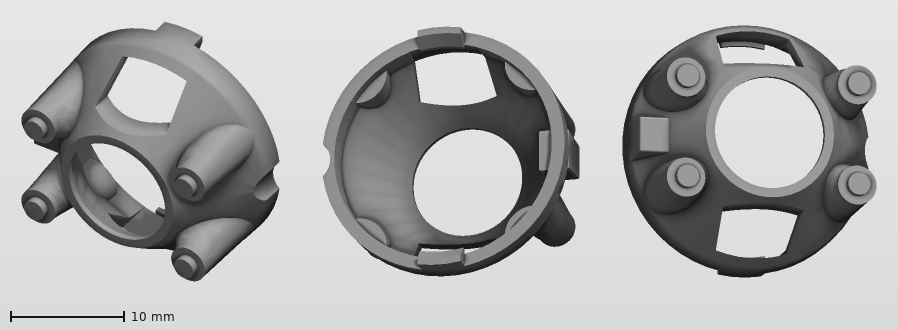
import math

import cadquery as cq


rim_back_radius = 11.03
rim_front_radius = 10.95
nose_radius = 5.83
shell_length = 9.6
cone_slope = 0.696
rim_blend_radius = 0.9
hole_radius = 5.0
bore_back_radius = 9.88
bore_front_radius = 9.7
wall_gap = 1.2

window_draft = 5.0
window_half_width = 3.9
window_floor = 6.22
window_top_radius = 10.73

tab_length = 1.5
tab_half_width = 1.97
tab_straight_length = 0.52
tab_inner_radius = 9.5
tab_tip_inner_radius = 10.43

post_circle_radius = 9.0
post_angles = (30, 150, 210, 330)
post_radius = 1.75
post_cap_end = 10.25
post_base_circle_radius = 8.66
post_base_radius = 2.3
post_root_depth = 0.45
pin_radius = 1.0
pin_end = 11.0

block_outer_x = 10.95
block_inner_x = 8.22
block_front_half_width = 1.57
block_root_half_width = 1.83
block_end = 6.05
block_root = 2.0
block_edge_radius = 0.18

notch_radius = 2.0
notch_centre_x = 12.25

bump_angles = (45, 135, 225, 315)
bump_radius = 2.63
bump_circle_radius = 11.3
bump_start = 1.0


def outer_cone_depth(radius):
    """Distance in front of the rim back face where the outer cone has this radius."""
    return shell_length - (radius - nose_radius) / cone_slope


def revolve_profile(points):
    """Turn a closed (radius, y) outline about the Y axis."""
    return cq.Workplane("XY").polyline(points).close().revolve(360, (0, 0), (0, 1))


def front_plane(depth):
    """XZ work plane at y = -depth, facing -Y."""
    return cq.Workplane("XZ", origin=(0, -depth, 0))


def make_envelope():
    cone_start = outer_cone_depth(rim_front_radius)
    envelope = revolve_profile([
        (0, 0),
        (rim_back_radius, 0),
        (rim_front_radius, -cone_start),
        (nose_radius, -shell_length),
        (0, -shell_length),
    ])
    corner = cq.selectors.NearestToPointSelector((0, -cone_start, 0))
    return envelope.edges(corner).fillet(rim_blend_radius)


def make_cavity():
    bore_end = outer_cone_depth(bore_front_radius + wall_gap)
    cone_end = outer_cone_depth(hole_radius + wall_gap)
    return revolve_profile([
        (0, 0),
        (bore_back_radius, 0),
        (bore_front_radius, -bore_end),
        (hole_radius, -cone_end),
        (hole_radius, -shell_length),
        (0, -shell_length),
    ])


def make_window():
    side_top = math.sqrt(window_top_radius**2 - window_half_width**2)
    return (
        front_plane(shell_length)
        .moveTo(-window_half_width, window_floor)
        .lineTo(window_half_width, window_floor)
        .lineTo(window_half_width, side_top)
        .threePointArc((0, window_top_radius), (-window_half_width, side_top))
        .close()
        .extrude(-shell_length, taper=window_draft)
    )


def make_tabs():
    ring = revolve_profile([
        (tab_inner_radius, 0),
        (rim_back_radius, 0),
        (rim_back_radius, tab_length),
        (tab_tip_inner_radius, tab_length),
        (tab_inner_radius, tab_straight_length),
    ])
    strip = cq.Workplane("XY").box(2 * tab_half_width, 2 * tab_length, 3 * rim_back_radius)
    return ring.intersect(strip)


def make_post(angle):
    cos_a = math.cos(math.radians(angle))
    sin_a = math.sin(math.radians(angle))
    x = post_circle_radius * cos_a
    z = post_circle_radius * sin_a

    tip_plane = cq.Plane((x, -shell_length, z), (cos_a, 0, sin_a), (0, -1, 0))
    tip = cq.Workplane(tip_plane).circle(post_radius).wires().val()
    base_y = post_root_depth - outer_cone_depth(post_base_circle_radius)
    base_plane = cq.Plane(
        (post_base_circle_radius * cos_a, base_y, post_base_circle_radius * sin_a),
        (cos_a, 1 / cone_slope, sin_a),
        (cos_a, -cone_slope, sin_a),
    )
    long_radius = post_base_radius * math.hypot(1, 1 / cone_slope)
    base = cq.Workplane(base_plane).ellipse(long_radius, post_base_radius).wires().val()
    stem = cq.Workplane(cq.Solid.makeLoft([base, tip], True))

    cap = front_plane(shell_length).center(x, z).circle(post_radius).extrude(post_cap_end - shell_length)
    pin = front_plane(post_cap_end).center(x, z).circle(pin_radius).extrude(pin_end - post_cap_end)
    return stem.union(cap).union(pin)


def make_block():
    return (
        cq.Workplane("YZ", origin=(-block_outer_x, 0, 0))
        .polyline([
            (-block_root, -block_root_half_width),
            (-block_root, block_root_half_width),
            (-block_end, block_front_half_width),
            (-block_end, -block_front_half_width),
        ])
        .close()
        .extrude(block_outer_x - block_inner_x)
        .edges("not >Y")
        .fillet(block_edge_radius)
    )


def make_bump(angle, envelope):
    x = bump_circle_radius * math.cos(math.radians(angle))
    z = bump_circle_radius * math.sin(math.radians(angle))
    cylinder = front_plane(bump_start).center(x, z).circle(bump_radius).extrude(shell_length - bump_start)
    return cylinder.intersect(envelope)


def make_notch():
    return front_plane(0).center(notch_centre_x, 0).circle(notch_radius).extrude(shell_length)


envelope = make_envelope()
window = make_window()

result = envelope.cut(make_cavity()).cut(window).cut(window.mirror("XY"))
result = result.union(make_tabs()).union(make_block())
for bump_angle in bump_angles:
    result = result.union(make_bump(bump_angle, envelope))
for post_angle in post_angles:
    result = result.union(make_post(post_angle))
result = result.cut(make_notch()).solids()